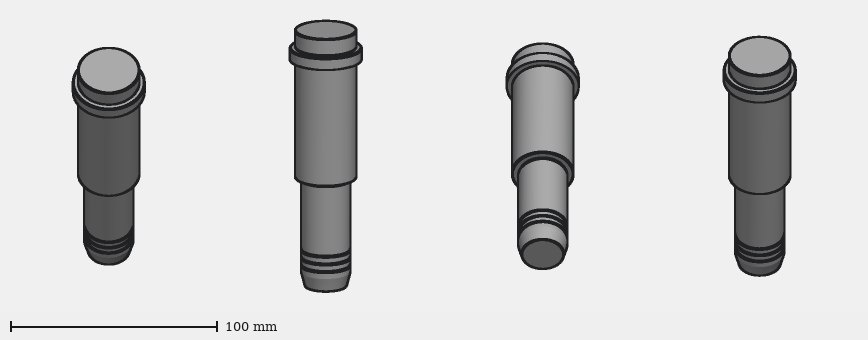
import cadquery as cq

total_length = 130.0
collar_diameter = 35.0
body_diameter = 30.0
pilot_diameter = 24.0
tip_diameter = 20.7

nose_height = 7.0
body_bottom = 55.0
collar_bottom = 115.0
collar_thickness = 6.0
collar_top = collar_bottom + collar_thickness

edge_chamfer = 0.5
collar_chamfer = 0.5
tip_chamfer = 0.4

taper_height = 0.8
taper_depth = 0.5

neck_height = 1.2
neck_diameter = 23.0

groove_count = 3
first_groove_bottom = 10.1
groove_pitch = 3.9
groove_width = 1.0
groove_depth = 0.4


def cylinder(diameter, bottom, top):
    return cq.Workplane("XY").workplane(offset=bottom).circle(diameter / 2).extrude(top - bottom)


def ring_groove(diameter, depth, bottom, width):
    """V-shaped ring of material to remove from a cylinder of the given diameter."""
    radius = diameter / 2
    return (
        cq.Workplane("XZ")
        .moveTo(radius, bottom)
        .lineTo(radius - depth, bottom + width / 2)
        .lineTo(radius, bottom + width)
        .close()
        .revolve(360, (0, 0, 0), (0, 1, 0))
    )


def nose():
    """Tapered lead-in with a broken edge at the tip."""
    tip_radius = tip_diameter / 2
    pilot_radius = pilot_diameter / 2
    return (
        cq.Workplane("XZ")
        .lineTo(tip_radius - tip_chamfer, 0)
        .lineTo(tip_radius, tip_chamfer)
        .lineTo(pilot_radius, nose_height)
        .lineTo(0, nose_height)
        .close()
        .revolve(360, (0, 0, 0), (0, 1, 0))
    )


neck_bottom = body_bottom - neck_height
pilot = cylinder(pilot_diameter, nose_height, neck_bottom)
pilot = pilot.union(cylinder(neck_diameter, neck_bottom, body_bottom))
for index in range(groove_count):
    groove_bottom = first_groove_bottom + index * groove_pitch
    pilot = pilot.cut(ring_groove(pilot_diameter, groove_depth, groove_bottom, groove_width))

body = cylinder(body_diameter, body_bottom, collar_bottom).faces("<Z").edges().chamfer(edge_chamfer)
body = body.faces(">Z").edges().chamfer(taper_height, taper_depth)
head = cylinder(body_diameter, collar_top, total_length).faces(">Z").edges().chamfer(edge_chamfer)
head = head.faces("<Z").edges().chamfer(taper_height, taper_depth)

collar = cylinder(collar_diameter, collar_bottom, collar_top).faces(">Z").edges().chamfer(collar_chamfer)

result = nose().union(pilot).union(body).union(collar).union(head)